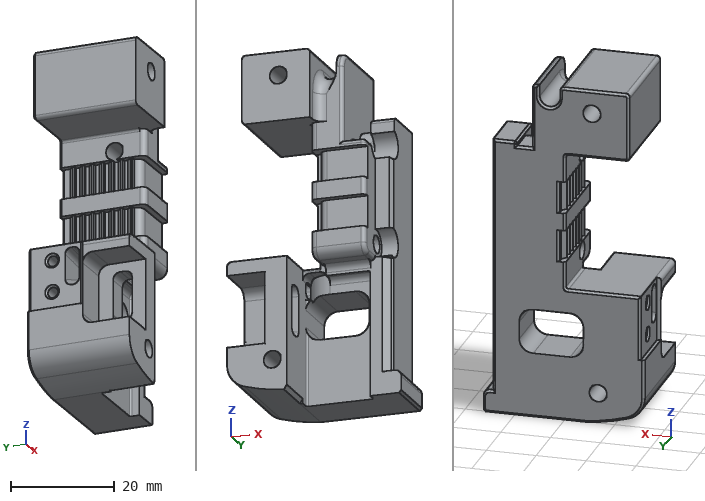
import cadquery as cq
import math

depth = 21.6
height = 68.75

block_right = 12.25
block_top = 27.15
block_edge_radius = 1.0
block_chin_x = 11.7
plate_front = 9.2
plate_right = 30.4
ledge_front_radius = 0.4
foot_right = 32.4
foot_top = 4.7

rail_left = 15.8
rail_right = 27.0
rail_front = 3.5
rail_bottom = 27.4
rail_left_radius = 1.2
rail_right_radius = 0.9
rail_bottom_radius = 2.05
rail_foot_cove = 1.4
rail_shoulder = 50.5

upper_left = 3.0
upper_right = 17.0
upper_bottom = 54.8
upper_radius = 0.8
blade_right = 22.5
blade_corner_radius = 3.0
blade_edge_radius = 0.75

web_top = 55.7
web_front = 13.0
web_radius = 2.95
lug_left = 25.6
lug_front = 10.85
lug_top = 56.6
lug_edge_radius = 0.7
lug_left_chamfer = 0.4

channel_radius = 2.05
channel_x = upper_right + channel_radius
blade_left = channel_x + channel_radius
channel_z = 66.5
channel_bend_radius = 6.05
channel_bend_y = 7.5
channel_bend_z = channel_z - channel_bend_radius
channel_front = channel_bend_y - channel_bend_radius

groove_right = 26.0
groove_floor = 11.2
groove_top = 25.45

back_chamfer = 0.5
joint_cove = 0.5

bolt_y = 10.05
bolt_heights = (30.95, 50.95)
bolt_diameter = 3.6
seat_radius = 2.95

overlap = 0.7


def box(x0, x1, y0, y1, z0, z1):
    """Block between opposite corners."""
    return cq.Workplane("XY").box(x1 - x0, y1 - y0, z1 - z0, centered=False).translate((x0, y0, z0))


def cylinder_x(radius, x0, x1, y, z):
    """Round bar along X."""
    return cq.Workplane("YZ", origin=(x0, y, z)).circle(radius).extrude(x1 - x0)


def cylinder_y(radius, y0, y1, x, z):
    """Round bar along Y."""
    return cq.Workplane("XZ", origin=(x, y0, z)).circle(radius).extrude(y0 - y1)


def cove_x(radius, x0, x1, y, z, sign_y, sign_z):
    """Concave fillet along X that fills the corner at (y, z)."""
    bulk = box(x0, x1, min(y, y + sign_y * radius), max(y, y + sign_y * radius),
               min(z, z + sign_z * radius), max(z, z + sign_z * radius))
    return bulk.cut(cylinder_x(radius, x0, x1, y + sign_y * radius, z + sign_z * radius))


def cove_y(radius, y0, y1, x, z, sign_x, sign_z):
    """Concave fillet along Y that fills the corner at (x, z)."""
    bulk = box(min(x, x + sign_x * radius), max(x, x + sign_x * radius), y0, y1,
               min(z, z + sign_z * radius), max(z, z + sign_z * radius))
    return bulk.cut(cylinder_y(radius, y0, y1, x + sign_x * radius, z + sign_z * radius))


def make_lower_block():
    """Clamp block with a curved lower left corner."""
    curve_start = (0, 6.2)
    upper_curve_middle = (0.8, 3.5)
    curve_knee = (3.65, 1.5)
    lower_curve_middle = (7.2, 0.6)
    corner_bevel_height = 0.95
    return (
        cq.Workplane("XZ")
        .moveTo(0, block_top - block_edge_radius)
        .radiusArc((block_edge_radius, block_top), block_edge_radius)
        .lineTo(block_right, block_top)
        .lineTo(block_right, corner_bevel_height)
        .lineTo(block_chin_x, 0)
        .threePointArc(lower_curve_middle, curve_knee)
        .threePointArc(upper_curve_middle, curve_start)
        .close()
        .extrude(-depth)
    )


def make_back_plate():
    """Plate behind the blocks, with the foot at its lower right end."""
    foot_bottom_chamfer = 0.5
    foot_top_radius = 1.4
    base = box(block_chin_x, plate_right, plate_front, depth, 0, block_top - overlap)
    ledge = box(block_right - overlap, rail_left + overlap, plate_front, depth, foot_top, block_top)
    ledge = ledge.edges("|X and >Z and <Y").fillet(ledge_front_radius)
    panel = box(rail_left, plate_right, plate_front, depth, foot_top, bolt_heights[1])
    foot = box(rail_right, foot_right, plate_front, depth, 0, foot_top)
    foot = foot.edges("|Y and >X and >Z").fillet(foot_top_radius)
    foot = foot.edges("|Y and >X and <Z").chamfer(foot_bottom_chamfer)
    web = box(rail_left, lug_left + overlap, web_front, depth, rail_shoulder - web_radius, web_top)
    web = web.edges("|X and <Y and >Z").fillet(web_radius)
    lug = box(lug_left, plate_right, lug_front, depth, rail_shoulder, lug_top)
    lug = lug.edges("|Y and >Z and <X").chamfer(lug_left_chamfer)
    lug = lug.edges("|X and >Z and <Y").fillet(lug_edge_radius)
    return base.union(ledge).union(panel).union(foot).union(web).union(lug)


def make_rail():
    """Rail body, rounded at the front, with a cove below it."""
    rail = box(rail_left, rail_right, rail_front, depth, rail_bottom, rail_shoulder)
    rail = rail.faces("<Z").edges("<Y").fillet(rail_bottom_radius)
    rail = rail.edges("|Z and <X and <Y").fillet(rail_left_radius)
    rail = rail.edges("|Z and >X and <Y").fillet(rail_right_radius)
    rail = rail.faces(">Z").edges("<Y").fillet(blade_edge_radius)
    cove = cove_x(rail_foot_cove, rail_left + rail_left_radius, rail_right - rail_right_radius,
                  plate_front, rail_bottom, -1, -1)
    return rail.union(cove)


def make_blade():
    """Upright plate above the rail, with a rounded upper front corner."""
    neck = box(rail_left, blade_left, rail_front, depth, rail_shoulder - blade_edge_radius, upper_bottom)
    neck = neck.edges("|Z and <X and <Y").fillet(rail_left_radius)
    blade = box(upper_right, blade_right, rail_front, depth, rail_shoulder - blade_edge_radius, height)
    blade = blade.edges("|X and <Y and >Z").fillet(blade_corner_radius)
    blade = blade.faces(">X").edges("not(>Y or <Z)").fillet(blade_edge_radius)
    return neck.union(blade)


def make_upper_block():
    """Upper clamp block with three rounded corners, and the corner fill beside the blade."""
    block = box(upper_left, upper_right, 0, depth, upper_bottom, height)
    block = block.edges("|Y").edges("<X or >Z").fillet(upper_radius)
    corner_fill = box(upper_right - overlap, channel_x, channel_front, depth, upper_bottom, channel_z)
    return block.union(corner_fill)


def make_joint_coves():
    """Small coves along the left side of the rail, under and over the gap between the blocks."""
    upper = cove_y(joint_cove, rail_front + rail_left_radius, depth, rail_left, upper_bottom, -1, -1)
    lower = cove_y(joint_cove, plate_front + ledge_front_radius, depth, rail_left, block_top, -1, 1)
    return upper.union(lower)


def cut_channel(body):
    """Round channel open to the top, which bends down into a vertical cove at the front."""
    half_turn = channel_bend_radius * math.sqrt(0.5)
    path = (
        cq.Workplane("YZ", origin=(channel_x, 0, 0))
        .moveTo(depth + overlap, channel_z)
        .lineTo(channel_bend_y, channel_z)
        .threePointArc((channel_bend_y - half_turn, channel_bend_z + half_turn), (channel_front, channel_bend_z))
        .lineTo(channel_front, upper_bottom - joint_cove)
    )
    pipe = (
        cq.Workplane("XZ", origin=(channel_x, depth + overlap, channel_z))
        .circle(channel_radius)
        .sweep(path)
    )
    slot = box(upper_right, blade_left, -overlap, depth + overlap, channel_bend_z, height + overlap)
    below_path = box(upper_right, blade_left, channel_bend_y, depth + overlap, channel_bend_z, channel_z)
    inside_bend = cylinder_x(channel_bend_radius, upper_right, blade_left, channel_bend_y, channel_bend_z)
    return body.cut(slot.cut(below_path).cut(inside_bend)).cut(pipe)


def cut_bolt_holes(body):
    """Cross bolts through the rail, with seats cut into the back plate on the right."""
    for z, seat_start in zip(bolt_heights, (rail_right, blade_right)):
        body = body.cut(cylinder_x(bolt_diameter / 2, rail_left - overlap, foot_right, bolt_y, z))
        body = body.cut(cylinder_x(seat_radius, seat_start, foot_right, bolt_y, z))
    return body


def cut_rail_flutes(body):
    """Two recessed bays of the rail with saw-tooth flutes along their left side."""
    bay_bottoms = (32.7, 42.75)
    bay_height = 6.45
    bay_front = 4.9
    corner_radius = 1.5
    tooth_tip_x = 16.3
    flute_floor_x = 17.1
    first_slope_y = 19.95
    flute_pitch = 2.03
    slope_width = 0.9
    tip_width = 0.4
    flute_count = 7
    tip_end = depth - back_chamfer
    outline = (
        cq.Workplane("XY")
        .moveTo(rail_left - overlap, depth)
        .lineTo(flute_floor_x + back_chamfer, depth)
    )
    for i in range(flute_count):
        slope_start = first_slope_y - i * flute_pitch
        tip_start = slope_start - slope_width
        outline = outline.lineTo(flute_floor_x, tip_end)
        outline = outline.lineTo(flute_floor_x, slope_start)
        outline = outline.lineTo(tooth_tip_x, tip_start)
        tip_end = tip_start - tip_width
        outline = outline.lineTo(tooth_tip_x, tip_end)
    outline = (
        outline.lineTo(flute_floor_x, tip_end)
        .lineTo(flute_floor_x, bay_front + corner_radius)
        .radiusArc((flute_floor_x + corner_radius, bay_front), -corner_radius)
        .lineTo(rail_right, bay_front)
        .lineTo(rail_right, rail_front - overlap)
        .lineTo(rail_left - overlap, rail_front - overlap)
        .close()
    )
    bay = outline.extrude(bay_height)
    for bottom in bay_bottoms:
        body = body.cut(bay.translate((0, 0, bottom)))
    return body


def cut_groove_and_window(body):
    """Vertical groove with a coved ceiling, and the rounded window through its floor."""
    ceiling_cove = 1.3
    side_cove = 0.4
    window_right = 25.1
    window_bottom = 13.3
    window_top = 22.3
    window_radius = 2.75
    groove = box(block_right, groove_right, 0, groove_floor, -overlap, groove_top)
    groove = groove.edges("|X and >Y and >Z").fillet(ceiling_cove)
    groove = groove.edges("|Z and >Y").fillet(side_cove)
    window = box(block_right, window_right, 0, depth + overlap, window_bottom, window_top)
    window = window.edges("|Y").fillet(window_radius)
    return body.cut(groove).cut(window)


def cut_plate_bevels(body):
    """Bevels along the front right edge of the plate, below and between the bolt seats."""
    lower_seat_z, upper_seat_z = bolt_heights
    bevels = (
        (28.45, 29.85, 1.4, foot_top, lower_seat_z - seat_radius),
        (29.9, plate_right, 1.2, lower_seat_z, upper_seat_z),
    )
    for left, right, bevel_depth, bottom, top in bevels:
        back = plate_front + bevel_depth
        corners = [(left, plate_front), (right, back), (foot_right, back), (foot_right, plate_front)]
        bevel = cq.Workplane("XY", origin=(0, 0, bottom)).polyline(corners).close().extrude(top - bottom)
        body = body.cut(bevel)
    return body


def cut_cross_holes(body):
    """One hole along Y through each block."""
    hole_diameter = 3.5
    lower_hole = (9.3, 6.4)
    upper_hole = (10.5, 64.0)
    for x, z in (lower_hole, upper_hole):
        body = body.cut(cylinder_y(hole_diameter / 2, 0, depth, x, z))
    return body


def cut_front_pocket(body):
    """Pocket in the front left corner of the lower block, with a slot through its inner wall."""
    pocket_right = 7.8
    pocket_back = 9.8
    pocket_bottom = 9.8
    pocket_top = 24.4
    pocket_radius = 2.05
    slot_front = 2.8
    slot_back = 6.8
    slot_bottom = 12.4
    slot_top = 22.55
    slot_radius = 1.5
    pocket = box(-overlap, pocket_right, -overlap, pocket_back, pocket_bottom, pocket_top)
    pocket = pocket.edges("|X and >Y").fillet(pocket_radius)
    slot = box(0, block_right, slot_front, slot_back, slot_bottom, slot_top)
    slot = slot.edges("|X").fillet(slot_radius)
    return body.cut(pocket).cut(slot)


def cut_left_recess(body):
    """Shallow recess on the left face with a beveled front border and two countersunk screw holes."""
    recess_depth = 0.75
    recess_front = 9.75
    recess_bottom = 14.1
    screw_y = 16.6
    screw_heights = (17.7, 24.1)
    screw_diameter = 2.1
    countersink_diameter = 2.95
    screw_depth = 5.5
    recess_corners = [
        (0, recess_front),
        (recess_depth, recess_front + recess_depth),
        (recess_depth, depth - back_chamfer),
        (recess_depth + back_chamfer, depth),
        (0, depth),
    ]
    recess = (
        cq.Workplane("XY", origin=(0, 0, recess_bottom))
        .polyline(recess_corners)
        .close()
        .extrude(block_top - recess_bottom)
    )
    body = body.cut(recess)
    sink = (countersink_diameter - screw_diameter) / 2
    for z in screw_heights:
        screw = cylinder_x(screw_diameter / 2, recess_depth, recess_depth + screw_depth, screw_y, z)
        cone = cq.Workplane(obj=cq.Solid.makeCone(
            countersink_diameter / 2, screw_diameter / 2, sink,
            pnt=cq.Vector(recess_depth, screw_y, z), dir=cq.Vector(1, 0, 0)))
        body = body.cut(screw).cut(cone)
    return body


def cut_cable_passage(body):
    """Passage from the left recess into the groove, with a rising floor and a flared exit."""
    front = 10.85
    back = 13.8
    top = 26.3
    entry_bottom = 18.35
    exit_bottom = 22.3
    corner_radius = 1.25
    flare_end = 17.1
    flare_middle = (14.1, 12.0)
    flare_top_radius = 1.4
    passage = (
        cq.Workplane("XZ", origin=(0, back, 0))
        .moveTo(0, entry_bottom)
        .lineTo(0, top)
        .lineTo(block_right, groove_top)
        .lineTo(block_right, exit_bottom)
        .close()
        .extrude(back - front)
    )
    passage = passage.edges("not(|Y or |Z)").fillet(corner_radius)
    flare = (
        cq.Workplane("XY", origin=(0, 0, exit_bottom - overlap))
        .moveTo(block_right, plate_front)
        .lineTo(block_right, back)
        .threePointArc(flare_middle, (flare_end, groove_floor))
        .lineTo(flare_end, plate_front)
        .close()
        .extrude(top - exit_bottom + overlap)
    )
    flare = flare.edges("|Y and >Z").fillet(flare_top_radius)
    return body.cut(passage).cut(flare)


result = (
    make_upper_block()
    .union(make_blade())
    .union(make_rail())
    .union(make_back_plate())
    .union(make_lower_block())
    .clean()
    .union(make_joint_coves())
)
result = cut_channel(result)
result = result.faces(">Y").edges().chamfer(back_chamfer)
for cut_opening in (
    cut_bolt_holes,
    cut_rail_flutes,
    cut_groove_and_window,
    cut_plate_bevels,
    cut_cross_holes,
    cut_front_pocket,
    cut_left_recess,
    cut_cable_passage,
):
    result = cut_opening(result)